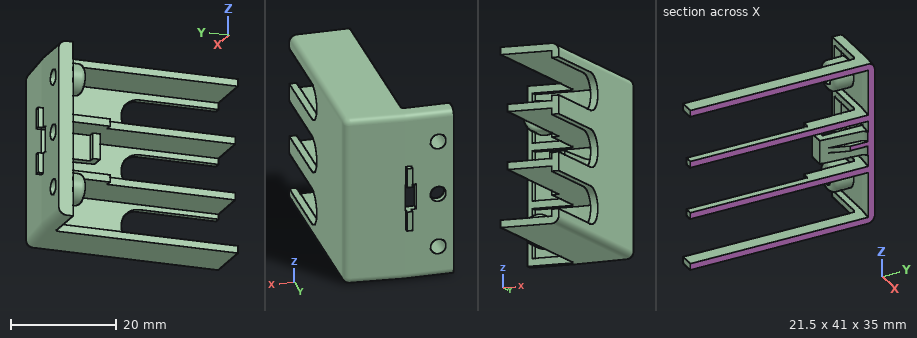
import cadquery as cq
import math

WIDTH = 21.5
DEPTH = 41.0
HEIGHT = 35.0
HALF_HEIGHT = HEIGHT / 2

WALL = 1.48
TAB_DEPTH = 1.02
BACK_Y = DEPTH - TAB_DEPTH
PLATE_DEPTH = 2.9
RIM_Y = BACK_Y - PLATE_DEPTH
FLOOR_Y = BACK_Y - WALL
EMBED_Y = FLOOR_Y + WALL / 2
FIN_X = 9.5
SLOPE = math.tan(math.radians(5))
OUTER_FILLET = 1.48
INNER_FILLET = 0.57

NUDGE = 0.05

RIM_WIDTH = 1.02
MIDDLE_HALF_HEIGHT = 4.88
INNER_FIN_X = 10.95
INNER_FIN_STEP_Y = 26.0

PITCH = 11.03
SLOT_WIDTH = 7.4
SLOT_END_Y = 19.75
BOSS_RADIUS = 3.08
BOSS_END_Y = 34.3
BOSS_FILLET = 1.0
HOLE_DIAMETER = 3.05

TAB_WIDTH = 1.1
TAB_HEIGHT = 3.98
TAB_CENTRE_Z = 4.55

LATCH_HEIGHT = 5.12
LATCH_TIP_Y = 28.58
HOOK_DEPTH = 1.48
HOOK_X = 8.05
STEM_X = 9.55
STEM_TIP_X = 11.1
STEM_ROOT_X = 11.7
STEM_FILLET = 1.05
WINDOW_X = 7.42
GUSSET_ROOT_X = 13.65
GUSSET_THICKNESS = 1.1


def box(x0, x1, y0, y1, z0, z1):
    """Box given by its limits along each axis."""
    return cq.Workplane("XY").box(x1 - x0, y1 - y0, z1 - z0, centered=False).translate((x0, y0, z0))


def prism(outline, z0, z1):
    """Extrude a closed XY outline between two heights."""
    return outline.extrude(z1 - z0).translate((0, 0, z0))


def floor_y(x):
    """Pocket floor, which tilts forward beyond the fin edge."""
    return FLOOR_Y - max(0, x - FIN_X) * SLOPE


def make_shell():
    outline = cq.Workplane("XY").polyline([
        (0, RIM_Y), (FIN_X, RIM_Y), (FIN_X, 0), (WIDTH, 0),
        (WIDTH, BACK_Y - (WIDTH - FIN_X) * SLOPE), (FIN_X, BACK_Y), (0, BACK_Y),
    ]).close()
    shell = prism(outline, -HALF_HEIGHT, HALF_HEIGHT)
    side_edges = shell.faces(">X").edges()
    back_selector = cq.selectors.BoxSelector(
        (NUDGE, RIM_Y + NUDGE, -HEIGHT), (WIDTH - NUDGE, DEPTH, HEIGHT))
    end_edges = shell.faces("|Z").edges(back_selector)
    rounded_edges = side_edges.edges("not(<Y)").add(end_edges)
    shell = shell.newObject(rounded_edges.vals()).fillet(OUTER_FILLET)
    corner = cq.selectors.BoxSelector(
        (FIN_X - NUDGE, RIM_Y - NUDGE, -HEIGHT), (FIN_X + NUDGE, RIM_Y + NUDGE, HEIGHT))
    return shell.edges("|Z").edges(corner).fillet(INNER_FILLET)


def pocket(z0, z1):
    inner_x = WIDTH - WALL
    outline = cq.Workplane("XY").polyline([
        (RIM_WIDTH, 0), (inner_x, 0), (inner_x, floor_y(inner_x)),
        (FIN_X, FLOOR_Y), (RIM_WIDTH, FLOOR_Y),
    ]).close()
    return prism(outline, z0, z1)


def wire_slot(z):
    """Round-ended slot through the side wall, open at the fin tips."""
    radius = SLOT_WIDTH / 2
    centre_y = SLOT_END_Y - radius
    x0 = WIDTH - 2 * WALL
    slot = box(x0, WIDTH, 0, centre_y, z - radius, z + radius)
    end = cq.Workplane("YZ", origin=(x0, centre_y, z)).circle(radius).extrude(2 * WALL)
    return slot.union(end)


def boss(z):
    post = cq.Workplane("XZ", origin=(BOSS_RADIUS, FLOOR_Y, z)).circle(BOSS_RADIUS)
    return post.extrude(FLOOR_Y - BOSS_END_Y).faces("<Y").edges().fillet(BOSS_FILLET)


def through_hole(z):
    drill = cq.Workplane("XZ", origin=(BOSS_RADIUS, DEPTH, z)).circle(HOLE_DIAMETER / 2)
    return drill.extrude(DEPTH - BOSS_END_Y)


def make_latch():
    """Hooked arm with a tapered, filleted root and a central gusset."""
    half = LATCH_HEIGHT / 2
    hook_y = LATCH_TIP_Y + HOOK_DEPTH
    fillet_end_x = STEM_ROOT_X + STEM_FILLET
    fillet_end_y = floor_y(fillet_end_x)
    mid_offset = STEM_FILLET * (1 - math.sqrt(0.5))
    arm = (
        cq.Workplane("XY").moveTo(HOOK_X, LATCH_TIP_Y)
        .lineTo(STEM_TIP_X, LATCH_TIP_Y)
        .lineTo(STEM_ROOT_X, fillet_end_y - STEM_FILLET)
        .threePointArc((STEM_ROOT_X + mid_offset, fillet_end_y - mid_offset),
                       (fillet_end_x, fillet_end_y))
        .lineTo(fillet_end_x, EMBED_Y).lineTo(STEM_X, EMBED_Y)
        .lineTo(STEM_X, hook_y).lineTo(HOOK_X, hook_y).close()
    )
    gusset = cq.Workplane("XY").polyline([
        (STEM_TIP_X, hook_y), (GUSSET_ROOT_X, floor_y(GUSSET_ROOT_X)),
        (GUSSET_ROOT_X, FLOOR_Y), (STEM_X, EMBED_Y), (STEM_X, hook_y),
    ]).close()
    half_gusset = GUSSET_THICKNESS / 2
    return prism(arm, -half, half).union(prism(gusset, -half_gusset, half_gusset))


result = make_shell()

outer_pocket_z = MIDDLE_HALF_HEIGHT + WALL
outer_pocket_top = HALF_HEIGHT - WALL
result = result.cut(pocket(-MIDDLE_HALF_HEIGHT, MIDDLE_HALF_HEIGHT))
result = result.cut(pocket(outer_pocket_z, outer_pocket_top))
result = result.cut(pocket(-outer_pocket_top, -outer_pocket_z))
result = result.cut(box(FIN_X, INNER_FIN_X, 0, INNER_FIN_STEP_Y, -outer_pocket_z, outer_pocket_z))

window_half = LATCH_HEIGHT / 2
result = result.cut(box(WINDOW_X, STEM_X, RIM_Y, DEPTH, -window_half, window_half))
result = result.union(make_latch())

for boss_z in (-PITCH, PITCH):
    result = result.union(boss(boss_z))

for station_z in (-PITCH, 0, PITCH):
    result = result.cut(wire_slot(station_z))
    result = result.cut(through_hole(station_z))

for tab_z in (-TAB_CENTRE_Z, TAB_CENTRE_Z):
    tab_half = TAB_HEIGHT / 2
    result = result.union(
        box(FIN_X - TAB_WIDTH, FIN_X, EMBED_Y, DEPTH, tab_z - tab_half, tab_z + tab_half))